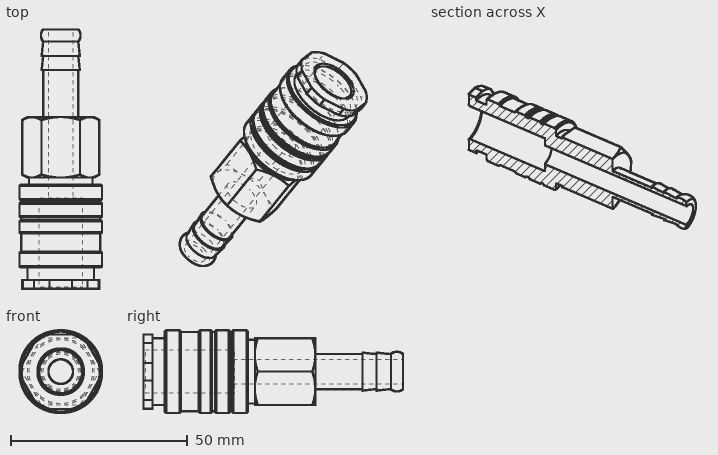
import cadquery as cq
import math

total_length = 73.5

collar_radius = 11.0
collar_across_flats = 21.1
collar_end = 2.6

front_neck_radius = 9.5
rear_neck_radius = 9.05

sleeve_radius = 11.75
sleeve_core_radius = 11.25
ring_chamfer = 0.45
sleeve_rings = [(6.0, 10.6), (15.65, 19.5), (20.2, 24.55), (25.1, 29.55)]
sleeve_start = sleeve_rings[0][0]
sleeve_end = sleeve_rings[-1][1]

nut_across_flats = 18.95
nut_start = 31.5
nut_end = 48.65
nut_chamfer_angle = 30.0
corner_clearance = 0.7

shank_radius = 5.0
barb_radius = 5.45
barb_start = 61.95
barb_length = 4.05
barb_count = 2
bead_start = barb_start + barb_count * barb_length
bead_radius = 5.65

bore_radius = 3.45
socket_radius = 6.1
socket_depth = 25.7
mouth_radius = 6.6
mouth_chamfer_depth = 0.5


def disc(radius, start, end):
    """Solid cylinder along Y between two stations."""
    return cq.Workplane("XZ", origin=(0, start, 0)).circle(radius).extrude(start - end)


def hexagon(across_flats, start, end):
    """Hexagonal prism along Y with flats facing up and down."""
    corner_diameter = across_flats / math.cos(math.pi / 6)
    return cq.Workplane("XZ", origin=(0, start, 0)).polygon(6, corner_diameter).extrude(start - end)


def cone(start_radius, end_radius, start, end):
    """Solid of revolution about Y with a straight tapered side."""
    outline = [(0, start), (start_radius, start), (end_radius, end), (0, end)]
    return cq.Workplane("XY").polyline(outline).close().revolve(360, (0, 0, 0), (0, 1, 0))


def make_collar():
    return disc(collar_radius, 0, collar_end).intersect(hexagon(collar_across_flats, 0, collar_end))


def make_sleeve():
    sleeve = disc(sleeve_core_radius, sleeve_start, sleeve_end)
    for start, end in sleeve_rings:
        sleeve = sleeve.union(disc(sleeve_radius, start, end).edges().chamfer(ring_chamfer))
    return sleeve


def make_nut():
    inner_radius = nut_across_flats / 2
    corner_radius = inner_radius / math.cos(math.pi / 6)
    outer_radius = corner_radius + corner_clearance
    drop = (outer_radius - inner_radius) * math.tan(math.radians(nut_chamfer_angle))
    envelope = (
        cq.Workplane("XY")
        .moveTo(0, nut_start)
        .lineTo(inner_radius, nut_start)
        .lineTo(outer_radius, nut_start + drop)
        .lineTo(outer_radius, nut_end - drop)
        .lineTo(inner_radius, nut_end)
        .lineTo(0, nut_end)
        .close()
        .revolve(360, (0, 0, 0), (0, 1, 0))
    )
    return hexagon(nut_across_flats, nut_start, nut_end).intersect(envelope)


def make_tail():
    tail = disc(shank_radius, nut_end, bead_start)
    for index in range(barb_count):
        start = barb_start + index * barb_length
        tail = tail.union(cone(barb_radius, shank_radius, start, start + barb_length))
    bead = (
        cq.Workplane("XY")
        .moveTo(0, bead_start)
        .lineTo(shank_radius, bead_start)
        .threePointArc((bead_radius, (bead_start + total_length) / 2), (shank_radius, total_length))
        .lineTo(0, total_length)
        .close()
        .revolve(360, (0, 0, 0), (0, 1, 0))
    )
    return tail.union(bead)


body = (
    make_collar()
    .union(disc(front_neck_radius, collar_end, sleeve_start))
    .union(make_sleeve())
    .union(disc(rear_neck_radius, sleeve_end, nut_start))
    .union(make_nut())
    .union(make_tail())
)

result = (
    body.cut(disc(bore_radius, 0, total_length))
    .cut(disc(socket_radius, 0, socket_depth))
    .cut(cone(mouth_radius, socket_radius, 0, mouth_chamfer_depth))
)